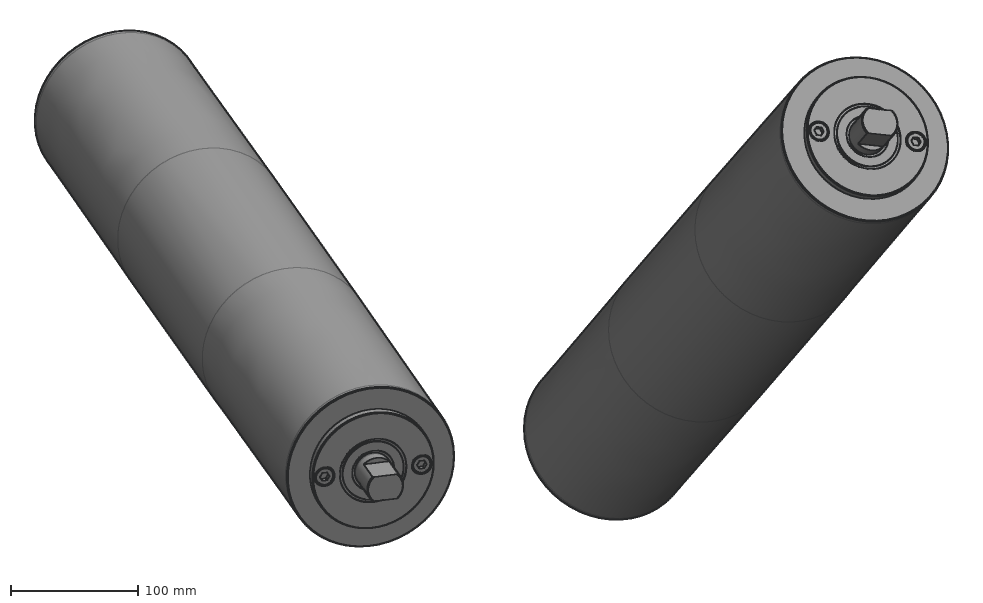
import cadquery as cq

TOTAL_LENGTH = 780.0

CROWN_DIAMETER = 139.0
CROWN_LENGTH = 234.0
SHELL_END_DIAMETER = 137.0
SHELL_INSET = 45.0

RIM_LENGTH = 5.0
RIM_CHAMFER = 1.0

COVER_DIAMETER = 100.0
COVER_LENGTH = 7.0
COVER_CHAMFER = 1.0

SEAL_OUTER_DIAMETER = 54.5
SEAL_INNER_DIAMETER = 50.0
SHAFT_GAP_DIAMETER = 34.0
GROOVE_DEPTH = 1.5

SHAFT_DIAMETER = 30.0
SHAFT_CHAMFER = 1.0
FLAT_THICKNESS = 21.0
FLAT_LENGTH = 25.0

SCREW_OFFSET = 40.0
SCREW_HOLE_DIAMETER = 16.0
SCREW_HEAD_DIAMETER = 14.0
SOCKET_DIAMETER = 8.0
SOCKET_SIDES = 6
SOCKET_DEPTH = 4.0

shaft_end = TOTAL_LENGTH / 2
shell_end = shaft_end - SHELL_INSET
rim_face = shell_end + RIM_LENGTH
cover_face = rim_face + COVER_LENGTH


def make_shell():
    """Revolve the crowned half-profile about the X axis."""
    return (
        cq.Workplane("XY")
        .moveTo(-shell_end, 0)
        .lineTo(-shell_end, SHELL_END_DIAMETER / 2)
        .lineTo(-CROWN_LENGTH / 2, CROWN_DIAMETER / 2)
        .lineTo(CROWN_LENGTH / 2, CROWN_DIAMETER / 2)
        .lineTo(shell_end, SHELL_END_DIAMETER / 2)
        .lineTo(shell_end, 0)
        .close()
        .revolve(360, (0, 0, 0), (1, 0, 0))
    )


def make_cylinder(diameter, half_length):
    """Cylinder on the X axis, centred on the origin."""
    return cq.Workplane("YZ").circle(diameter / 2).extrude(half_length, both=True)


def make_groove(outer_diameter, inner_diameter, y=0):
    """Ring to be cut into the +X cover face."""
    return (
        cq.Workplane("YZ", origin=(cover_face, y, 0))
        .circle(outer_diameter / 2)
        .circle(inner_diameter / 2)
        .extrude(-GROOVE_DEPTH)
    )


def make_socket(y):
    """Hexagonal screw socket to be cut into the +X cover face."""
    return (
        cq.Workplane("YZ", origin=(cover_face, y, 0))
        .polygon(SOCKET_SIDES, SOCKET_DIAMETER)
        .extrude(-SOCKET_DEPTH)
    )


def make_flat(side):
    """Block that cuts one wrench flat at the +X shaft end; side is +1 (top) or -1 (bottom)."""
    return cq.Workplane("XY").box(FLAT_LENGTH, SHAFT_DIAMETER, SHAFT_DIAMETER).translate(
        (shaft_end - FLAT_LENGTH / 2, 0, side * (FLAT_THICKNESS + SHAFT_DIAMETER) / 2)
    )


rim = make_cylinder(SHELL_END_DIAMETER, rim_face).faces("<X or >X").chamfer(RIM_CHAMFER)
cover = make_cylinder(COVER_DIAMETER, cover_face).faces("<X or >X").chamfer(COVER_CHAMFER)
shaft = make_cylinder(SHAFT_DIAMETER, shaft_end).faces("<X or >X").chamfer(SHAFT_CHAMFER)
result = make_shell().union(rim).union(cover).union(shaft)

end_cuts = [
    make_groove(SEAL_OUTER_DIAMETER, SEAL_INNER_DIAMETER),
    make_groove(SHAFT_GAP_DIAMETER, SHAFT_DIAMETER),
]
for side in (-1, 1):
    end_cuts.append(make_flat(side))
    end_cuts.append(make_groove(SCREW_HOLE_DIAMETER, SCREW_HEAD_DIAMETER, side * SCREW_OFFSET))
    end_cuts.append(make_socket(side * SCREW_OFFSET))

for cut in end_cuts:
    result = result.cut(cut).cut(cut.mirror("YZ"))